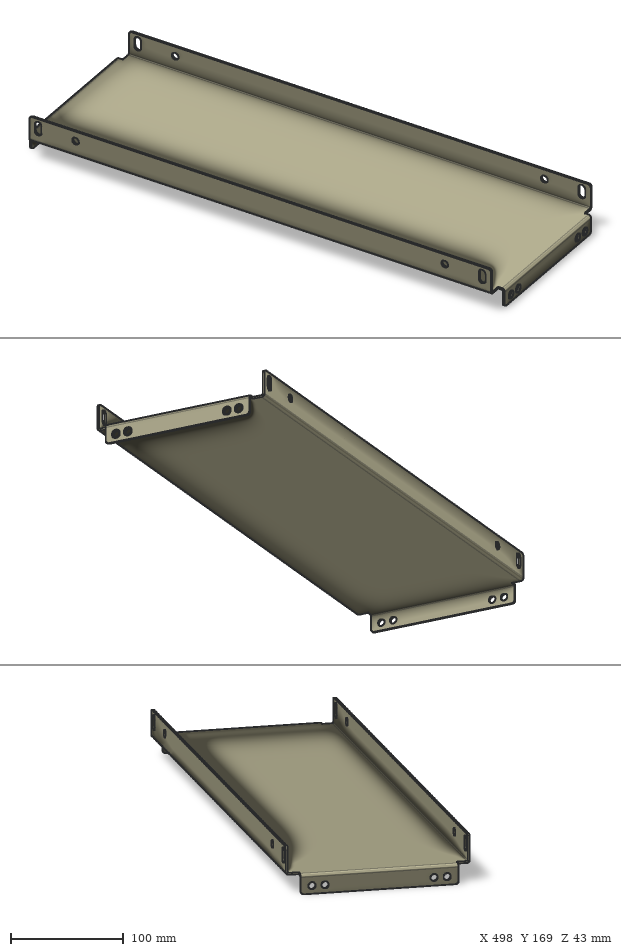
import cadquery as cq

sheet = 2.0
inner_bend = 1.0
outer_bend = inner_bend + sheet

tray_length = 497.7
tray_width = 169.0
side_height = 26.0
end_drop = 17.0

side_flange_length = 484.0
end_flange_width = 145.0
side_corner = 3.0
end_corner = 3.0

side_hole_below_lip = 10.0
side_hole_z = side_height - side_hole_below_lip
slot_width = 7.0
slot_height = 14.0
slot_from_end = 9.25
side_hole_diameter = 7.0
side_hole_from_end = 48.5

end_hole_diameter = 6.5
end_hole_below_deck = 11.5
end_hole_z = sheet - end_hole_below_deck
end_hole_offsets = (50.0, 62.0)
collar_diameter = 8.0
collar_height = 0.3


def bent_channel(width, leg_height, length, lip_corner):
    """U channel running along Y, legs up, bent from sheet, with its lip corners rounded."""
    channel = (
        cq.Workplane("XZ")
        .rect(width, leg_height)
        .extrude(length / 2, both=True)
        .translate((0, 0, leg_height / 2))
        .edges("|Y and <Z")
        .fillet(outer_bend)
    )
    hollow = (
        cq.Workplane("XZ")
        .rect(width - 2 * sheet, leg_height)
        .extrude(length / 2, both=True)
        .translate((0, 0, sheet + leg_height / 2))
        .edges("|Y and <Z")
        .fillet(inner_bend)
    )
    return channel.cut(hollow).edges("|X and >Z").fillet(lip_corner)


def side_channel():
    """Deck with the two upturned flanges along its long sides."""
    channel = bent_channel(tray_width, side_height, side_flange_length, side_corner)
    return channel.rotate((0, 0, 0), (0, 0, 1), 90)


def end_channel():
    """Deck with the two downturned flanges at its short ends."""
    channel = bent_channel(tray_length, end_drop + sheet, end_flange_width, end_corner)
    return channel.mirror("XY").translate((0, 0, sheet))


def side_openings():
    """Cutters for the slots and round holes through both side flanges."""
    slot_x = side_flange_length / 2 - slot_from_end
    hole_x = side_flange_length / 2 - side_hole_from_end
    plane = cq.Workplane("XZ", origin=(0, 0, side_hole_z))
    slots = (
        plane.pushPoints([(-slot_x, 0), (slot_x, 0)])
        .slot2D(slot_height, slot_width, 90)
        .extrude(tray_width, both=True)
    )
    holes = (
        plane.pushPoints([(-hole_x, 0), (hole_x, 0)])
        .circle(side_hole_diameter / 2)
        .extrude(tray_width, both=True)
    )
    return slots.union(holes)


def end_hole_sites(start_x):
    """YZ workplane at start_x with a point at every end flange hole."""
    sites = [(side * offset, 0) for side in (-1, 1) for offset in end_hole_offsets]
    return cq.Workplane("YZ", origin=(start_x, 0, end_hole_z)).pushPoints(sites)


def collars():
    """Shallow round collars standing proud of the +X end flange."""
    flange_inside = tray_length / 2 - sheet
    return end_hole_sites(flange_inside).circle(collar_diameter / 2).extrude(sheet + collar_height)


def end_holes():
    """Cutters through both end flanges and the collars."""
    return end_hole_sites(0).circle(end_hole_diameter / 2).extrude(tray_length, both=True)


tray = side_channel().union(end_channel())
result = tray.union(collars()).cut(side_openings()).cut(end_holes())